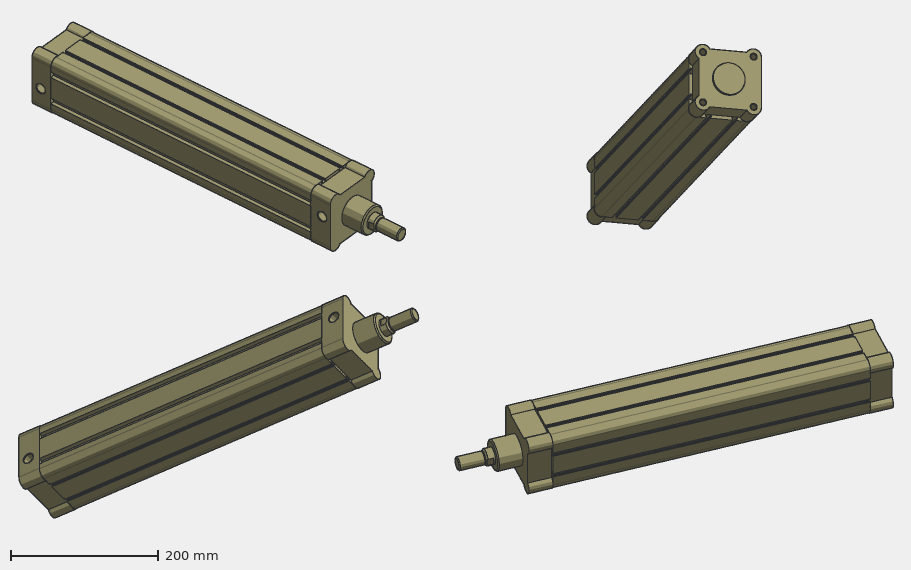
import cadquery as cq


TOTAL_LENGTH = 618.0

CAP_SIZE = 94.0
BOLT_SPACING = 71.5
REAR_CAP_LENGTH = 33.5
FRONT_CAP_LENGTH = 34.5
RECESS_DEPTH = 5.5
BOLT_HOLE_DIAMETER = 8.0
BOLT_HOLE_DEPTH = 18.5
CAP_HALF = CAP_SIZE / 2
LOBE_CENTER = BOLT_SPACING / 2
LOBE_RADIUS = CAP_HALF - LOBE_CENTER

COUNTERSINK = 0.9

PORT_DIAMETER = 15.0
PORT_DEPTH = 12.5
PORT_OFFSET = 9.0
REAR_PORT_FROM_BARREL = 18.0
FRONT_PORT_FROM_BARREL = 20.0

BOSS_DIAMETER = 45.0
BOSS_LENGTH = 4.5
NECK_LENGTH = 36.0
NECK_CHAMFER = 2.0

BARREL_LENGTH = 458.5
BARREL_INSET = 0.5
BARREL_HALF = CAP_HALF - BARREL_INSET
BARREL_CORNER_RADIUS = BARREL_HALF - LOBE_CENTER
GROOVE_DEPTH = 5.0
GROOVE_WIDTH = 5.5
GROOVE_INNER_WIDTH = 8.0
GROOVE_LIP = 2.5
GROOVE_OFFSET = 18.5
PORT_SIDE_GROOVE_WIDTH = 9.0
PORT_SIDE_GROOVE_FLOOR = 7.0
PORT_SIDE_GROOVE_OFFSET = 22.0
PLAIN_SIDE_ANGLES = (0, 180, -90)
PORT_SIDE_ANGLE = 90

COLLAR_DIAMETER = 25.0
COLLAR_LENGTH = 13.0
COLLAR_CHAMFER = 2.5
COLLAR_FLATS = 22.0
FLATS_START = 2.5
STUD_DIAMETER = 20.0
STUD_CHAMFER = 1.55

REAR_CAP_START = BOSS_LENGTH
BARREL_START = REAR_CAP_START + REAR_CAP_LENGTH
FRONT_CAP_START = BARREL_START + BARREL_LENGTH
NECK_START = FRONT_CAP_START + FRONT_CAP_LENGTH
ROD_START = NECK_START + NECK_LENGTH
STUD_START = ROD_START + COLLAR_LENGTH
STUD_LENGTH = TOTAL_LENGTH - STUD_START


def section_plane(x):
    """Plane across the cylinder at x, with local axes Y and Z."""
    return cq.Workplane("YZ", origin=(x, 0, 0))


def cylinder(x, diameter, length):
    return section_plane(x).circle(diameter / 2).extrude(length)


def cap_block(x, length):
    """Cap with four round corner lobes, recessed between them on every side but -Y."""
    recessed_half = CAP_HALF - RECESS_DEPTH
    core = section_plane(x).rect(BOLT_SPACING, 2 * recessed_half).extrude(length)
    core_depth = CAP_HALF + recessed_half
    web = (
        section_plane(x)
        .center(recessed_half - core_depth / 2, 0)
        .rect(core_depth, BOLT_SPACING)
        .extrude(length)
    )
    lobes = (
        section_plane(x)
        .rect(BOLT_SPACING, BOLT_SPACING, forConstruction=True)
        .vertices()
        .circle(LOBE_RADIUS)
        .extrude(length)
    )
    return core.union(web).union(lobes)


def drill(mouth_plane, diameter, depth):
    """Countersunk drill bodies going in along the plane's normal from each point on its stack."""
    bore = mouth_plane.circle(diameter / 2).extrude(depth)
    countersink = mouth_plane.circle(diameter / 2 + COUNTERSINK).extrude(COUNTERSINK, taper=45)
    return bore.union(countersink)


def port(x, z):
    """Blind air port in the -Y face."""
    mouth = cq.Workplane(cq.Plane(origin=(x, -CAP_HALF, z), xDir=(1, 0, 0), normal=(0, 1, 0)))
    return drill(mouth, PORT_DIAMETER, PORT_DEPTH)


def make_rear_cap():
    bolt_mouths = (
        section_plane(REAR_CAP_START)
        .rect(BOLT_SPACING, BOLT_SPACING, forConstruction=True)
        .vertices()
    )
    return (
        cap_block(REAR_CAP_START, REAR_CAP_LENGTH)
        .union(cylinder(0, BOSS_DIAMETER, BOSS_LENGTH))
        .cut(drill(bolt_mouths, BOLT_HOLE_DIAMETER, BOLT_HOLE_DEPTH))
        .cut(port(BARREL_START - REAR_PORT_FROM_BARREL, -PORT_OFFSET))
    )


def make_front_cap():
    neck = cylinder(NECK_START, BOSS_DIAMETER, NECK_LENGTH).faces(">X").chamfer(NECK_CHAMFER)
    return (
        cap_block(FRONT_CAP_START, FRONT_CAP_LENGTH)
        .union(neck)
        .cut(port(FRONT_CAP_START + FRONT_PORT_FROM_BARREL, PORT_OFFSET))
    )


def groove(side_angle, points):
    """Lengthwise groove from points (across, depth) on the +Z side, turned about X onto its side."""
    return (
        section_plane(BARREL_START)
        .polyline([(across, BARREL_HALF - depth) for across, depth in points])
        .close()
        .extrude(BARREL_LENGTH)
        .rotate((0, 0, 0), (1, 0, 0), side_angle)
    )


def tee_groove(side_angle, offset):
    """Sensor groove that widens below its lips."""
    left_mouth = offset - GROOVE_WIDTH / 2
    right_mouth = offset + GROOVE_WIDTH / 2
    left_wall = offset - GROOVE_INNER_WIDTH / 2
    right_wall = offset + GROOVE_INNER_WIDTH / 2
    return groove(
        side_angle,
        [
            (left_mouth, 0),
            (left_mouth, GROOVE_LIP),
            (left_wall, GROOVE_LIP),
            (left_wall, GROOVE_DEPTH),
            (right_wall, GROOVE_DEPTH),
            (right_wall, GROOVE_LIP),
            (right_mouth, GROOVE_LIP),
            (right_mouth, 0),
        ],
    )


def tapered_groove(side_angle, offset):
    """Groove with flanks that narrow toward its floor."""
    half_mouth = PORT_SIDE_GROOVE_WIDTH / 2
    half_floor = PORT_SIDE_GROOVE_FLOOR / 2
    return groove(
        side_angle,
        [
            (offset - half_mouth, 0),
            (offset - half_floor, GROOVE_DEPTH),
            (offset + half_floor, GROOVE_DEPTH),
            (offset + half_mouth, 0),
        ],
    )


def make_barrel():
    barrel = (
        section_plane(BARREL_START)
        .rect(2 * BARREL_HALF, 2 * BARREL_HALF)
        .extrude(BARREL_LENGTH)
        .edges("|X")
        .fillet(BARREL_CORNER_RADIUS)
    )
    for direction in (-1, 1):
        for side_angle in PLAIN_SIDE_ANGLES:
            barrel = barrel.cut(tee_groove(side_angle, direction * GROOVE_OFFSET))
        barrel = barrel.cut(tapered_groove(PORT_SIDE_ANGLE, direction * PORT_SIDE_GROOVE_OFFSET))
    return barrel


def make_rod():
    """Round collar with wrench flats facing -Y and +Y beyond its first stretch, then a chamfered stud."""
    round_end = cylinder(ROD_START, COLLAR_DIAMETER, FLATS_START)
    flats = section_plane(ROD_START).rect(COLLAR_FLATS, COLLAR_DIAMETER).extrude(COLLAR_LENGTH)
    flatted_collar = (
        cylinder(ROD_START, COLLAR_DIAMETER, COLLAR_LENGTH)
        .faces(">X")
        .chamfer(COLLAR_CHAMFER)
        .intersect(flats)
    )
    stud = cylinder(STUD_START, STUD_DIAMETER, STUD_LENGTH).faces("<X or >X").chamfer(STUD_CHAMFER)
    return round_end.union(flatted_collar).union(stud)


rear_cap = make_rear_cap()
barrel = make_barrel()
front_cap = make_front_cap()
rod = make_rod()

result = cq.Compound.makeCompound(
    [rear_cap.val(), barrel.val(), front_cap.val(), rod.val()]
)